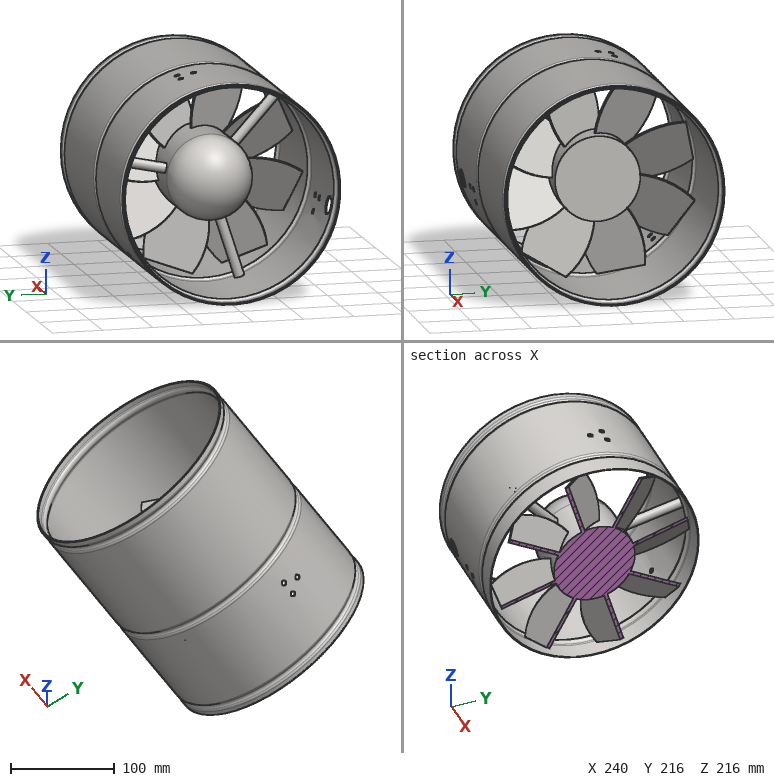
import cadquery as cq
import math

LENGTH = 240.0
OUTER_RADIUS = 108.0
WALL = 1.5
BEAD_DEPTH = 2.5
BEAD_BEND_RADIUS = 3.0
BEAD_END_OFFSET = 10.0
BEAD_POSITIONS = (BEAD_END_OFFSET, 110.0, LENGTH - BEAD_END_OFFSET)

HUB_RADIUS = 42.0
HUB_NOSE_CENTRE = 89.0
HUB_END = 160.0

STRUT_COUNT = 3
STRUT_DIAMETER = 10.0
STRUT_POSITION = 98.5
STRUT_FIRST_ANGLE = 48.0
STRUT_TIP_RADIUS = OUTER_RADIUS - WALL

BLADE_COUNT = 8
BLADE_FIRST_ANGLE = 28.5
BLADE_POSITION = 135.0
BLADE_PITCH = 30.0
BLADE_THICKNESS = 2.0
BLADE_ROOT_RADIUS = 37.0
BLADE_WIDEST_RADIUS = 71.0
BLADE_TIP_RADIUS = 100.0
BLADE_ROOT_WIDTH = 46.0
BLADE_MAX_WIDTH = 61.5
BLADE_TIP_WIDTH = 50.4

HOLE_GROUP_COUNT = STRUT_COUNT
HOLE_ANGLE = STRUT_FIRST_ANGLE - 180 / STRUT_COUNT
SCREW_HOLE_DIAMETER = 5.0
SCREW_HOLE_SPACING = 15.0
SCREW_GROUP_POSITION = 75.0
CABLE_HOLE_DIAMETER = 18.0
CABLE_HOLE_POSITION = 32.5


def turned(shape, angle):
    """Turn a shape built along -Y about the X axis, from -Y towards +Z."""
    return shape.rotate((0, 0, 0), (1, 0, 0), -angle)


def beaded_solid(radius, bend_crest, bend_root):
    """Solid of revolution about X whose outline dips by BEAD_DEPTH at every bead.

    bend_crest is the bend radius at the edges of a bead, bend_root the one at its bottom.
    """
    bend_sum = bend_crest + bend_root
    bend_angle = math.acos(1 - BEAD_DEPTH / bend_sum)
    half_width = bend_sum * math.sin(bend_angle)
    root_run = bend_root * math.sin(bend_angle)
    root_rise = bend_root * (1 - math.cos(bend_angle))
    crest_mid_run = bend_crest * math.sin(bend_angle / 2)
    crest_mid_drop = bend_crest * (1 - math.cos(bend_angle / 2))
    bottom = radius - BEAD_DEPTH

    outline = cq.Workplane("XY").moveTo(0, 0).lineTo(0, radius)
    for x in BEAD_POSITIONS:
        outline = (
            outline.lineTo(x - half_width, radius)
            .threePointArc(
                (x - half_width + crest_mid_run, radius - crest_mid_drop),
                (x - root_run, bottom + root_rise),
            )
            .threePointArc((x, bottom), (x + root_run, bottom + root_rise))
            .threePointArc(
                (x + half_width - crest_mid_run, radius - crest_mid_drop),
                (x + half_width, radius),
            )
        )
    outline = outline.lineTo(LENGTH, radius).lineTo(LENGTH, 0).close()
    return outline.revolve(360, (0, 0, 0), (1, 0, 0))


def make_duct():
    outside = beaded_solid(OUTER_RADIUS, BEAD_BEND_RADIUS, BEAD_BEND_RADIUS)
    inside = beaded_solid(OUTER_RADIUS - WALL, BEAD_BEND_RADIUS - WALL, BEAD_BEND_RADIUS + WALL)
    return outside.cut(inside)


def radial_cylinder(x, offset, diameter, length):
    """Cylinder along -Y from the axis plane; offset shifts it sideways along Z."""
    return cq.Workplane("XZ").center(x, offset).circle(diameter / 2).extrude(length)


def make_hub():
    nose = cq.Workplane("XY").sphere(HUB_RADIUS).translate((HUB_NOSE_CENTRE, 0, 0))
    body = (
        cq.Workplane("YZ", origin=(HUB_NOSE_CENTRE, 0, 0))
        .circle(HUB_RADIUS)
        .extrude(HUB_END - HUB_NOSE_CENTRE)
    )
    return body.union(nose)


def make_blade():
    pitch = math.radians(BLADE_PITCH)
    blade_plane = cq.Plane(
        origin=(BLADE_POSITION, 0, 0),
        xDir=(0, -1, 0),
        normal=(-math.cos(pitch), 0, -math.sin(pitch)),
    )
    return (
        cq.Workplane(blade_plane)
        .moveTo(BLADE_ROOT_RADIUS, -BLADE_ROOT_WIDTH / 2)
        .threePointArc(
            (BLADE_WIDEST_RADIUS, -BLADE_MAX_WIDTH / 2),
            (BLADE_TIP_RADIUS, -BLADE_TIP_WIDTH / 2),
        )
        .lineTo(BLADE_TIP_RADIUS, BLADE_TIP_WIDTH / 2)
        .threePointArc(
            (BLADE_WIDEST_RADIUS, BLADE_MAX_WIDTH / 2),
            (BLADE_ROOT_RADIUS, BLADE_ROOT_WIDTH / 2),
        )
        .close()
        .extrude(BLADE_THICKNESS / 2, both=True)
    )


def make_screw_holes():
    """Three holes in a triangle, two of them on the group's own angle."""
    holes = radial_cylinder(
        SCREW_GROUP_POSITION, -SCREW_HOLE_SPACING, SCREW_HOLE_DIAMETER, OUTER_RADIUS
    )
    for side in (-1, 1):
        x = SCREW_GROUP_POSITION + side * SCREW_HOLE_SPACING / 2
        holes = holes.union(radial_cylinder(x, 0, SCREW_HOLE_DIAMETER, OUTER_RADIUS))
    return holes


def make_strut():
    return radial_cylinder(STRUT_POSITION, 0, STRUT_DIAMETER, STRUT_TIP_RADIUS)


duct = make_duct()
for i in range(HOLE_GROUP_COUNT):
    duct = duct.cut(turned(make_screw_holes(), HOLE_ANGLE + i * 360 / HOLE_GROUP_COUNT))
cable_hole = radial_cylinder(CABLE_HOLE_POSITION, 0, CABLE_HOLE_DIAMETER, OUTER_RADIUS)
duct = duct.cut(turned(cable_hole, HOLE_ANGLE))

fan = make_hub()
for i in range(BLADE_COUNT):
    fan = fan.union(turned(make_blade(), BLADE_FIRST_ANGLE + i * 360 / BLADE_COUNT))

result = duct.union(fan)
for i in range(STRUT_COUNT):
    result = result.union(turned(make_strut(), STRUT_FIRST_ANGLE + i * 360 / STRUT_COUNT))